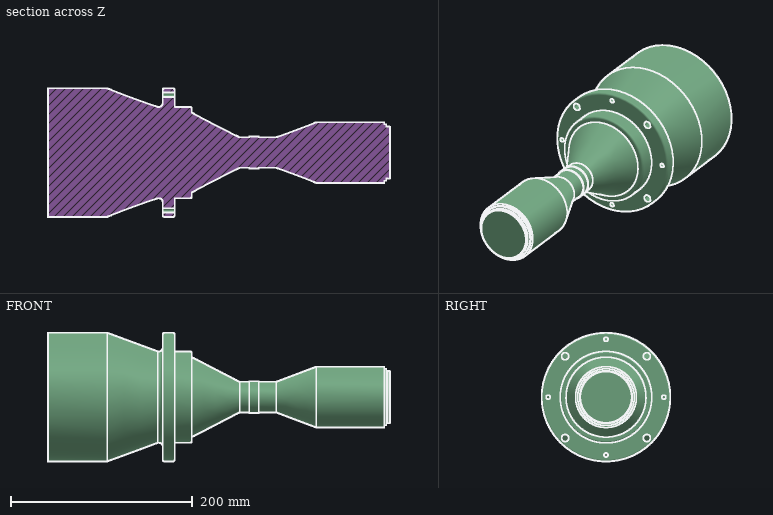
import cadquery as cq

total_length = 376.8
drum_end = 65.0
front_cone_end = 121.0
neck_end = 122.5
flange_start = 126.2
flange_end = 139.8
collar_end = 158.5
waist_cone_end = 209.5
waist_start = 211.0
band_start = 222.0
band_end = 232.0
rear_cone_start = 251.5
barrel_start = 295.5
barrel_end = 370.5
shoulder_end = 372.5

drum_diameter = 142.0
drum_radius = drum_diameter / 2
flange_radius = drum_radius
neck_radius = 50.5
collar_radius = neck_radius
waist_cone_radius = 44.0
waist_radius = 17.0
band_radius = 17.7
barrel_radius = 33.5
shoulder_radius = 31.3
cap_radius = 29.0

flange_fillet = 2.3
collar_fillet = 2.3
cap_chamfer = 0.8
neck_fillet = flange_start - neck_end

hole_circle_radius = 63.5
bolt_hole_diameter = 8.0
pin_hole_diameter = 4.5
holes_per_set = 4


def make_body():
    """Revolve the stepped half-profile about the X axis."""
    profile = (
        cq.Workplane("XZ")
        .moveTo(0, 0)
        .lineTo(0, drum_radius)
        .lineTo(drum_end, drum_radius)
        .lineTo(front_cone_end, neck_radius)
        .lineTo(neck_end, neck_radius)
        .radiusArc((flange_start, neck_radius + neck_fillet), -neck_fillet)
        .lineTo(flange_start, flange_radius - flange_fillet)
        .radiusArc((flange_start + flange_fillet, flange_radius), flange_fillet)
        .lineTo(flange_end - flange_fillet, flange_radius)
        .radiusArc((flange_end, flange_radius - flange_fillet), flange_fillet)
        .lineTo(flange_end, collar_radius)
        .lineTo(collar_end - collar_fillet, collar_radius)
        .radiusArc((collar_end, collar_radius - collar_fillet), collar_fillet)
        .lineTo(collar_end, waist_cone_radius)
        .lineTo(waist_cone_end, band_radius)
        .lineTo(waist_start, waist_radius)
        .lineTo(band_start, waist_radius)
        .lineTo(band_start, band_radius)
        .lineTo(band_end, band_radius)
        .lineTo(band_end, waist_radius)
        .lineTo(rear_cone_start, waist_radius)
        .lineTo(barrel_start, barrel_radius)
        .lineTo(barrel_end, barrel_radius)
        .lineTo(barrel_end, shoulder_radius)
        .lineTo(shoulder_end, shoulder_radius)
        .lineTo(shoulder_end, cap_radius - cap_chamfer)
        .lineTo(shoulder_end + cap_chamfer, cap_radius)
        .lineTo(total_length - cap_chamfer, cap_radius)
        .lineTo(total_length, cap_radius - cap_chamfer)
        .lineTo(total_length, 0)
        .close()
    )
    return profile.revolve(360, (0, 0, 0), (1, 0, 0))


def make_hole_set(diameter, start_angle):
    """Return evenly spaced cylinders spanning the flange thickness."""
    return (
        cq.Workplane("YZ", origin=(flange_start, 0, 0))
        .polarArray(hole_circle_radius, start_angle, 360, holes_per_set)
        .circle(diameter / 2)
        .extrude(flange_end - flange_start)
    )


body = make_body()
bolt_holes = make_hole_set(bolt_hole_diameter, 45)
pin_holes = make_hole_set(pin_hole_diameter, 0)
result = body.cut(bolt_holes).cut(pin_holes)